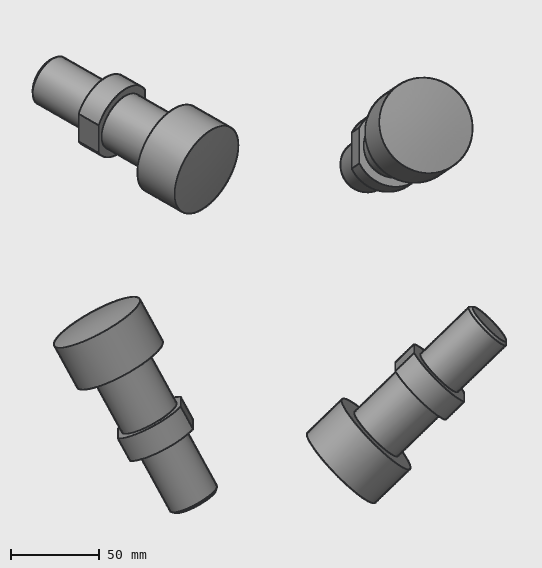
import cadquery as cq

total_length = 119.8
shank_diameter = 30.1
shank_length = 40.0
shank_chamfer = 1.5
collar_diameter = 45.0
collar_length = 15.0
collar_across_flats = 40.0
neck_diameter = 35.0
neck_end = 90.2
head_diameter = 55.0
crown_height = 1.8

collar_end = shank_length + collar_length
head_rim = total_length - crown_height


def cylinder(diameter, start, end):
    """Cylinder centred on the X axis between two stations."""
    return cq.Workplane("YZ", origin=(start, 0, 0)).circle(diameter / 2).extrude(end - start)


def flatted_collar():
    """Round collar with two wrench flats facing -Y and +Y."""
    collar = cylinder(collar_diameter, shank_length, collar_end)
    flats = cq.Workplane("XY").box(collar_length, collar_across_flats, collar_diameter)
    return collar.intersect(flats.translate((shank_length + collar_length / 2, 0, 0)))


def crowned_head():
    """Cylindrical head whose outer face is a shallow spherical crown."""
    rim_radius = head_diameter / 2
    crown_radius = (rim_radius**2 + crown_height**2) / (2 * crown_height)
    crown_centre = total_length - crown_radius
    mid_radius = rim_radius / 2
    mid_x = crown_centre + (crown_radius**2 - mid_radius**2) ** 0.5
    return (
        cq.Workplane("XY")
        .moveTo(neck_end, 0)
        .lineTo(neck_end, rim_radius)
        .lineTo(head_rim, rim_radius)
        .threePointArc((mid_x, mid_radius), (total_length, 0))
        .close()
        .revolve(360, (0, 0, 0), (1, 0, 0))
    )


shank = cylinder(shank_diameter, 0, shank_length).faces("<X").chamfer(shank_chamfer)
neck = cylinder(neck_diameter, collar_end, neck_end)

result = shank.union(flatted_collar()).union(neck).union(crowned_head())